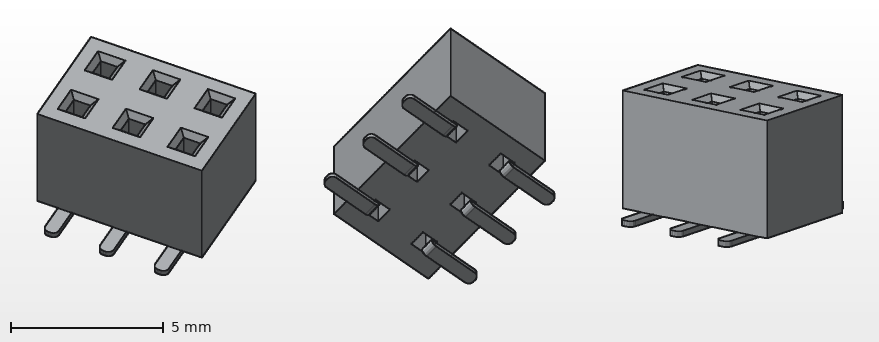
import cadquery as cq
import math

COLUMNS = 3
PITCH = 2.0

HOUSING_LENGTH = COLUMNS * PITCH
HOUSING_WIDTH = 2 * PITCH
HOUSING_HEIGHT = 4.0

SOCKET_SIDE = 0.6
LEAD_IN_SIDE = 1.0
LEAD_IN_DEPTH = (LEAD_IN_SIDE - SOCKET_SIDE) / 2

OVERALL_WIDTH = 6.25
FOOT_WIDTH = 0.5
FOOT_THICKNESS = 0.2
TIP_RADIUS = 0.2
BEND_RADIUS = FOOT_THICKNESS
FOOT_TIP = OVERALL_WIDTH / 2
FOOT_INNER_END = (PITCH + SOCKET_SIDE) / 2 - FOOT_THICKNESS

HOUSING_BOTTOM = FOOT_THICKNESS
HOUSING_TOP = HOUSING_BOTTOM + HOUSING_HEIGHT

column_places = [(i - (COLUMNS - 1) / 2) * PITCH for i in range(COLUMNS)]
row_sides = (-1, 1)


def make_socket(x, y):
    """Cutter for one through socket and its lead-in."""
    shaft = (
        cq.Workplane("XY", origin=(x, y, HOUSING_BOTTOM))
        .rect(SOCKET_SIDE, SOCKET_SIDE)
        .extrude(HOUSING_HEIGHT)
    )
    lead_in = (
        cq.Workplane("XY", origin=(x, y, HOUSING_TOP))
        .rect(LEAD_IN_SIDE, LEAD_IN_SIDE)
        .workplane(offset=-LEAD_IN_DEPTH)
        .rect(SOCKET_SIDE, SOCKET_SIDE)
        .loft()
    )
    return shaft.union(lead_in)


def make_contact(x, side):
    """One contact foot, reaching outward on the -Y (side = -1) or +Y (side = 1) side."""
    bend_start = FOOT_INNER_END + BEND_RADIUS
    bend_reach = BEND_RADIUS * math.sqrt(0.5)
    bend_middle = (bend_start - bend_reach, FOOT_THICKNESS - bend_reach)
    foot = (
        cq.Workplane("YZ", origin=(-FOOT_WIDTH / 2, 0, 0))
        .moveTo(FOOT_INNER_END, FOOT_THICKNESS)
        .threePointArc(bend_middle, (bend_start, 0))
        .lineTo(FOOT_TIP, 0)
        .lineTo(FOOT_TIP, FOOT_THICKNESS)
        .close()
        .extrude(FOOT_WIDTH)
    )
    foot = foot.edges("|Z and >Y").fillet(TIP_RADIUS)
    if side < 0:
        foot = foot.mirror("XZ")
    return foot.translate((x, 0, 0)).solids()


def make_housing():
    """Block with all the sockets; the feet of every column but the first are part of it."""
    block = (
        cq.Workplane("XY", origin=(0, 0, HOUSING_BOTTOM))
        .rect(HOUSING_LENGTH, HOUSING_WIDTH)
        .extrude(HOUSING_HEIGHT)
    )
    for x in column_places:
        for side in row_sides:
            block = block.cut(make_socket(x, side * PITCH / 2))
    for x in column_places[1:]:
        for side in row_sides:
            block = block.union(make_contact(x, side))
    return block.solids()


housing = make_housing()

contacts = [make_contact(column_places[0], side) for side in row_sides]

result = cq.Compound.makeCompound([housing.val(), *[contact.val() for contact in contacts]])